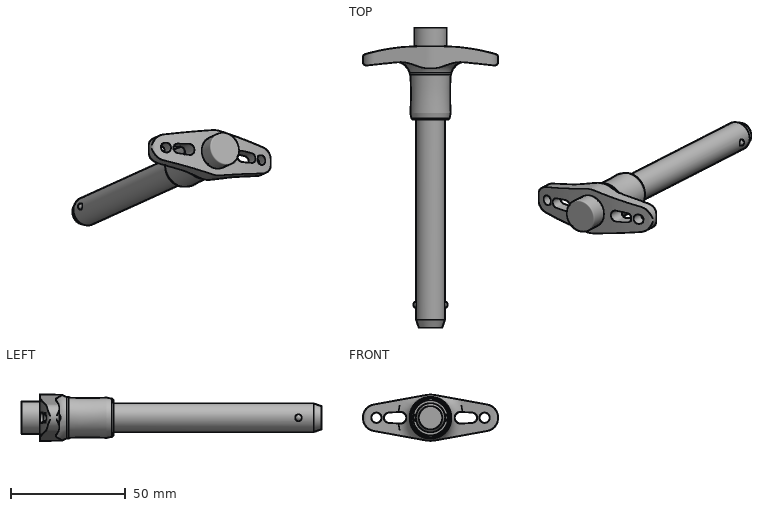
import cadquery as cq
import math


shank_radius = 6.35
shank_length = 90.76
tip_radius = 5.1
tip_length = 3.5

ball_radius = 1.5
ball_center_x = 6.0
ball_to_tip = 10.1

end_face_radius = 7.7
end_chamfer_radius = 8.45
end_chamfer_length = 0.8
taper_start_y = 3.1
body_radius = 8.87
waist_radius = 8.6
collar_radius = 9.15
collar_lower_y = 19.7
collar_upper_y = 20.5
flare_outer_radius = 15.4
flare_crest_y = 25.3

wing_span = 59.12
wing_hub_radius = 10.16
wing_end_radius = 5.94
wing_top_y = 32.25
wing_top_flat_half = 4.0
wing_top_arc_radius = 88.0
wing_bottom_end_y = 23.55
wing_bottom_slope = 0.105
wing_corner_radius = 1.6

cord_hole_radius = 2.2
slot_inner_x = 10.6
slot_outer_x = 20.3
slot_inner_radius = 2.5
slot_outer_radius = 2.2

button_radius = 7.2
button_height = 8.05
button_edge_radius = 0.5

wing_half_span = wing_span / 2
wing_end_center_x = wing_half_span - wing_end_radius
wing_bottom_mid_y = wing_bottom_end_y + wing_bottom_slope * wing_half_span
flare_run = flare_outer_radius - collar_radius
flare_rise = flare_crest_y - collar_upper_y


def tapered_slot(radius_a, x_a, radius_b, x_b):
    """Outline of two circles on the X axis joined by their common tangents (x_a < x_b)."""
    sine = (radius_a - radius_b) / (x_b - x_a)
    cosine = math.sqrt(1 - sine**2)
    a_x, a_z = x_a + radius_a * sine, radius_a * cosine
    b_x, b_z = x_b + radius_b * sine, radius_b * cosine
    return (
        cq.Sketch()
        .segment((a_x, a_z), (b_x, b_z))
        .arc((b_x, b_z), (x_b + radius_b, 0), (b_x, -b_z))
        .segment((b_x, -b_z), (a_x, -a_z))
        .arc((a_x, -a_z), (x_a - radius_a, 0), (a_x, a_z))
        .assemble()
    )


def prism_along_y(sketch):
    """Extrude an X-Z sketch, symmetric about X, over the whole height of the handle."""
    return cq.Workplane("XZ").placeSketch(sketch).extrude(-wing_top_y)


def make_plan_prism():
    """Wing plan: a round hub narrowing to a rounded end on each side."""
    half = tapered_slot(wing_hub_radius, 0, wing_end_radius, wing_end_center_x)
    right_half = prism_along_y(half)
    return right_half.union(right_half.mirror("YZ"))


def make_wing_profile():
    """Wing seen along Z: an arched top, a sloping underside and rounded outer corners."""
    arc_run = wing_half_span - wing_top_flat_half

    def top_y(run):
        return wing_top_y - wing_top_arc_radius + math.sqrt(wing_top_arc_radius**2 - run**2)

    profile = (
        cq.Workplane("XY")
        .moveTo(0, wing_top_y)
        .lineTo(wing_top_flat_half, wing_top_y)
        .threePointArc(
            (wing_top_flat_half + arc_run / 2, top_y(arc_run / 2)),
            (wing_half_span, top_y(arc_run)),
        )
        .lineTo(wing_half_span, wing_bottom_end_y)
        .lineTo(0, wing_bottom_mid_y)
        .close()
        .extrude(wing_hub_radius, both=True)
        .edges("|Z and >X")
        .fillet(wing_corner_radius)
    )
    return profile.union(profile.mirror("YZ"))


def flare_mid_point():
    """Middle of the flare arc, which starts at the collar and is square to the axis at its crest."""
    arc_radius = (flare_run**2 + flare_rise**2) / (2 * flare_rise)
    half_sweep = math.asin(flare_run / arc_radius) / 2
    return (
        flare_outer_radius - arc_radius * math.sin(half_sweep),
        flare_crest_y - arc_radius * (1 - math.cos(half_sweep)),
    )


def make_flare():
    """Trumpet-shaped root that blends the body into the wings."""
    return (
        cq.Workplane("XY")
        .moveTo(0, collar_upper_y)
        .lineTo(collar_radius, collar_upper_y)
        .threePointArc(flare_mid_point(), (flare_outer_radius, flare_crest_y))
        .lineTo(flare_outer_radius, wing_bottom_mid_y)
        .lineTo(0, wing_bottom_mid_y)
        .close()
        .revolve(360, (0, 0), (0, 1))
    )


def make_openings():
    """Cord hole and tapered slot through each wing."""
    slot = prism_along_y(tapered_slot(
        slot_inner_radius, slot_inner_x + slot_inner_radius,
        slot_outer_radius, slot_outer_x - slot_outer_radius,
    ))
    hole = (
        cq.Workplane("XZ")
        .center(wing_end_center_x, 0)
        .circle(cord_hole_radius)
        .extrude(-wing_top_y)
    )
    right_side = slot.union(hole)
    return right_side.union(right_side.mirror("YZ"))


def make_handle():
    wings = make_wing_profile().union(make_flare()).intersect(make_plan_prism())
    return wings.cut(make_openings())


def make_turned_pin():
    """Shank and handle body, turned about the pin axis."""
    return (
        cq.Workplane("XY")
        .moveTo(0, -shank_length)
        .lineTo(tip_radius, -shank_length)
        .lineTo(shank_radius, tip_length - shank_length)
        .lineTo(shank_radius, 0)
        .lineTo(end_face_radius, 0)
        .lineTo(end_chamfer_radius, end_chamfer_length)
        .lineTo(body_radius, taper_start_y)
        .threePointArc(
            (waist_radius, (taper_start_y + collar_lower_y) / 2),
            (body_radius, collar_lower_y),
        )
        .lineTo(collar_radius, collar_lower_y)
        .lineTo(collar_radius, collar_upper_y)
        .lineTo(0, collar_upper_y)
        .close()
        .revolve(360, (0, 0), (0, 1))
    )


def make_button():
    return (
        cq.Workplane("XZ", origin=(0, wing_top_y, 0))
        .circle(button_radius)
        .extrude(-button_height)
        .faces(">Y")
        .edges()
        .fillet(button_edge_radius)
    )


def make_balls():
    """Locking balls standing out of opposite sides of the shank."""
    ball_y = ball_to_tip - shank_length
    return (
        cq.Workplane("XY")
        .pushPoints([(-ball_center_x, ball_y), (ball_center_x, ball_y)])
        .sphere(ball_radius)
    )


result = make_turned_pin().union(make_handle()).union(make_button()).union(make_balls())